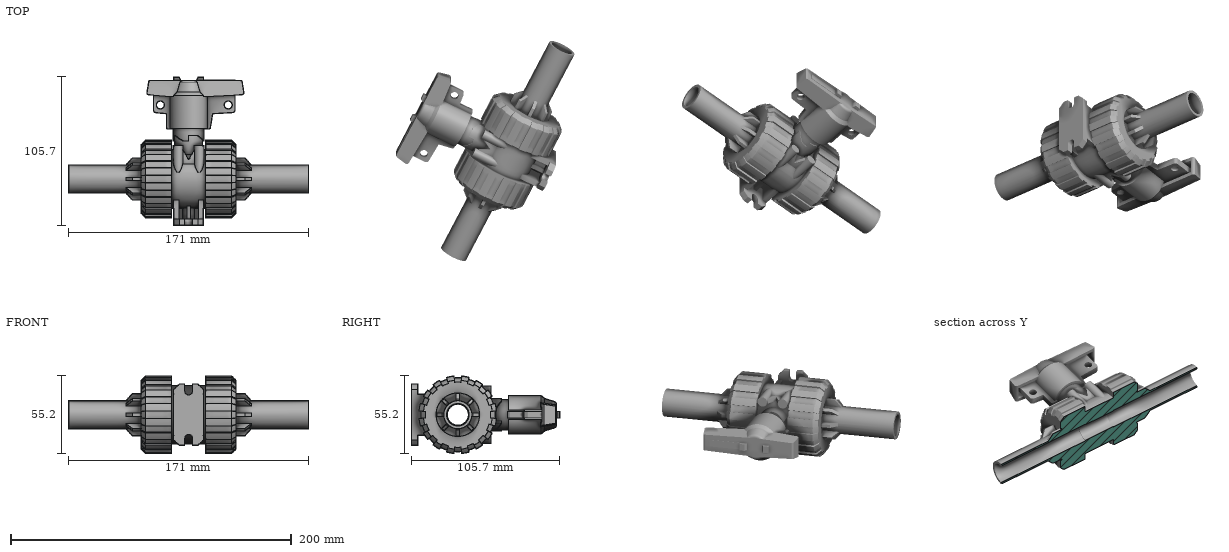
import cadquery as cq
import math

OVERLAP = 0.5

TOTAL_LENGTH = 171.0
TOTAL_DEPTH = 105.67
PIPE_DIA = 20.0
PIPE_BORE_DIA = 16.0
BALL_BORE_DIA = 15.0

BODY_DIA = 41.97
NUT_INNER_X = 12.1
NUT_OUTER_X = 33.8
TOOTH_COUNT = 16
TOOTH_PITCH = 360.0 / TOOTH_COUNT
TOOTH_ANGLE = TOOTH_PITCH / 2
NUT_HEIGHT = 55.24
TOOTH_RADIUS = NUT_HEIGHT / 2 / math.cos(math.radians(TOOTH_ANGLE / 2))
GAP_RADIUS = 26.4
NUT_CHAMFER = 3.2
NUT_OPENING_DIA = 31.0
NUT_RECESS = 1.0

RIB_COUNT = 8
RIB_WIDTH = 2.3
RIB_RADIUS = 15.0
RIB_TIP_X = 44.6
RIB_SHOULDER_X = 40.1

FOOT_Y = -33.06
FOOT_THICKNESS = 4.7
FOOT_WIDTH = 21.2
FOOT_HEIGHT = 43.8
FOOT_CHAMFER = 4.0
FOOT_SLOT_DIA = 5.5
FOOT_SLOT_DEPTH = 7.8
WALL_THICKNESS = 3.6
WALL_HEIGHT = 29.3
FOOT_BOSS_DIA = 9.0
FOOT_RIB_WIDTH = 2.6
FOOT_RIB_HEIGHT = 17.4

PIN_DIA = 7.0
PIN_TOP_Y = 23.7
PIN_X = 7.5
PIN_Z = 17.0
WEB_TOP_Z = 18.0
WEB_THICKNESS = 3.0
WEB_END_Y = 20.8
WEB_NOTCH_TIP_Y = 13.8

NECK_DIA = 23.2
NECK_WIDTH = 20.0
CAM_COUNT = 4
CAM_HIGH_Y = 31.0
CAM_LOW_Y = 27.0
CAM_SLOPE_START = 33.0
CAM_SLOPE_END = 70.0
STEM_DIA = 22.0
STEM_TOP_Y = 47.4

HUB_DIA = 27.5
HUB_BOTTOM_Y = 35.9
HUB_SHOULDER_Y = 59.3
HUB_SHOULDER_TOP_Y = 61.8
CONE_BASE_DIA = 23.2
CONE_TOP_DIA = 18.0
CONE_EDGE_RADIUS = 2.2
HUB_SLOT_WIDTH = 6.7
GRIP_TOP_Y = 70.2
GRIP_BASE_Y = 58.7
GRIP_END_BASE_Y = 60.0
GRIP_LEFT_X = -30.2
GRIP_RIGHT_X = 39.9
GRIP_END_LEAN = 1.5
GRIP_CORNER = 2.0
GRIP_TOP_HALF = 7.1
GRIP_BOTTOM_HALF = 9.0
GRIP_END_SHRINK = 1.2
GRIP_WALL = 2.7
POCKET_DEPTH = 7.0

PLATE_THICKNESS = 4.9
PLATE_LEFT_X = -25.1
PLATE_RIGHT_X = 33.2
LUG_BOTTOM_Y = 47.3
LUG_ROOT_Y = 46.4
WAIST_LEFT_X = -15.8
WAIST_RIGHT_X = 15.4
WAIST_RIGHT_ROOT_X = 17.2
PLATE_BOTTOM_Y = 35.5
LUG_CORNER = 2.2
WAIST_CORNER = 1.2
RIDGE_HEIGHT = 0.3
LUG_HOLE_DIA = 5.5
LUG_HOLE_Y = 52.7
LUG_HOLE_XS = (-20.1, 28.2)
TAB_TOP_Y = FOOT_Y + TOTAL_DEPTH
TAB_OUTER_X = 10.7
TAB_INNER_X = 6.8
TAB_FOOT_X = 5.5


def x_cylinder(dia, x_start, x_end):
    return cq.Workplane("YZ").workplane(offset=x_start).circle(dia / 2).extrude(x_end - x_start)


def y_cylinder(dia, y_start, y_end, x=0.0, z=0.0):
    base = cq.Workplane("XZ", origin=(x, y_start, z))
    return base.circle(dia / 2).extrude(y_start - y_end)


def span_box(x_span, y_span, z_span):
    spans = (x_span, y_span, z_span)
    size = [end - start for start, end in spans]
    return cq.Workplane("XY").box(*size, centered=False).translate([start for start, _ in spans])


def plate_outline(points, thickness):
    return cq.Workplane("XY").polyline(points).close().extrude(thickness / 2, both=True)


def nut_sector(radius, angle):
    """Chamfered nut wedge on the +X side, turned about X through the given angle."""
    profile = [
        (NUT_INNER_X, 0),
        (NUT_INNER_X, radius),
        (NUT_OUTER_X - NUT_CHAMFER, radius),
        (NUT_OUTER_X, radius - NUT_CHAMFER),
        (NUT_OUTER_X, 0),
    ]
    return cq.Workplane("XY").polyline(profile).close().revolve(angle, (0, 0, 0), (1, 0, 0))


def make_nut():
    nut = nut_sector(GAP_RADIUS, 360)
    tooth = nut_sector(TOOTH_RADIUS, TOOTH_ANGLE)
    for i in range(TOOTH_COUNT):
        start = TOOTH_ANGLE / 2 + i * TOOTH_PITCH
        nut = nut.union(tooth.rotate((0, 0, 0), (1, 0, 0), start))
    recess = x_cylinder(NUT_OPENING_DIA, NUT_OUTER_X - NUT_RECESS, NUT_OUTER_X + OVERLAP)
    return nut.cut(recess)


def make_connector():
    """Pipe tail on the +X side with its ring of stiffening ribs."""
    tail = x_cylinder(PIPE_DIA, NUT_INNER_X, TOTAL_LENGTH / 2)
    root_x = NUT_OUTER_X - NUT_RECESS - OVERLAP
    profile = [
        (root_x, 0),
        (root_x, RIB_RADIUS),
        (RIB_SHOULDER_X, RIB_RADIUS),
        (RIB_TIP_X, PIPE_DIA / 2),
        (RIB_TIP_X, 0),
    ]
    rib = plate_outline(profile, RIB_WIDTH)
    for i in range(RIB_COUNT):
        tail = tail.union(rib.rotate((0, 0, 0), (1, 0, 0), i * 360 / RIB_COUNT))
    return tail


def make_foot():
    plate_top_y = FOOT_Y + FOOT_THICKNESS
    plate = span_box(
        (-FOOT_WIDTH / 2, FOOT_WIDTH / 2),
        (FOOT_Y, plate_top_y),
        (-FOOT_HEIGHT / 2, FOOT_HEIGHT / 2),
    )
    foot = plate.edges("|Y").chamfer(FOOT_CHAMFER)
    slot_centre_z = FOOT_HEIGHT / 2 - FOOT_SLOT_DEPTH + FOOT_SLOT_DIA / 2
    for side in (-1, 1):
        end = y_cylinder(FOOT_SLOT_DIA, FOOT_Y, plate_top_y, z=side * slot_centre_z)
        z_span = sorted((side * slot_centre_z, side * FOOT_HEIGHT / 2))
        channel = span_box((-FOOT_SLOT_DIA / 2, FOOT_SLOT_DIA / 2), (FOOT_Y, plate_top_y), z_span)
        foot = foot.cut(end).cut(channel)

    y_span = (plate_top_y - OVERLAP, 0)
    for side in (-1, 1):
        x_span = sorted((side * FOOT_WIDTH / 2, side * (FOOT_WIDTH / 2 - WALL_THICKNESS)))
        foot = foot.union(span_box(x_span, y_span, (-WALL_HEIGHT / 2, WALL_HEIGHT / 2)))
    half_rib = FOOT_RIB_WIDTH / 2
    upright_rib = span_box((-half_rib, half_rib), y_span, (-FOOT_RIB_HEIGHT / 2, FOOT_RIB_HEIGHT / 2))
    cross_rib = span_box((-FOOT_WIDTH / 2, FOOT_WIDTH / 2), y_span, (-half_rib, half_rib))
    boss = y_cylinder(FOOT_BOSS_DIA, *y_span)
    return foot.union(upright_rib).union(cross_rib).union(boss)


def make_pins():
    """Four pins along Y, each pair joined by a flat web with a V notch."""
    web_outline = [
        (-PIN_X, 0),
        (PIN_X, 0),
        (PIN_X, WEB_END_Y),
        (PIN_X - PIN_DIA / 2, WEB_END_Y),
        (0, WEB_NOTCH_TIP_Y),
        (PIN_DIA / 2 - PIN_X, WEB_END_Y),
        (-PIN_X, WEB_END_Y),
    ]
    web = cq.Workplane("XY").polyline(web_outline).close().extrude(WEB_THICKNESS)
    group = web.translate((0, 0, WEB_TOP_Z - WEB_THICKNESS))
    for x in (-PIN_X, PIN_X):
        group = group.union(y_cylinder(PIN_DIA, 0, PIN_TOP_Y, x, PIN_Z))
    return group.union(group.mirror("XY"))


def cam_cutter():
    """Removes the falling half of the cam in the quadrant between +Z and +X."""
    radius = NECK_DIA / 2
    middle = 45
    slope_start = radius * math.sin(math.radians(CAM_SLOPE_START - middle))
    slope_end = radius * math.sin(math.radians(CAM_SLOPE_END - middle))
    outline = [
        (slope_start, CAM_HIGH_Y),
        (slope_end, CAM_LOW_Y),
        (NECK_DIA, CAM_LOW_Y),
        (NECK_DIA, CAM_HIGH_Y),
    ]
    prism = cq.Workplane("XY").polyline(outline).close().extrude(NECK_DIA)
    prism = prism.rotate((0, 0, 0), (0, 1, 0), middle)
    quadrant = span_box((0, NECK_DIA), (0, CAM_HIGH_Y), (0, NECK_DIA))
    return prism.intersect(quadrant)


def make_neck():
    neck = y_cylinder(NECK_DIA, 0, CAM_HIGH_Y)
    flats = span_box((-NECK_WIDTH / 2, NECK_WIDTH / 2), (0, CAM_HIGH_Y), (-NECK_DIA, NECK_DIA))
    neck = neck.intersect(flats)
    cutter = cam_cutter()
    for i in range(CAM_COUNT):
        neck = neck.cut(cutter.rotate((0, 0, 0), (0, 1, 0), i * 360 / CAM_COUNT))
    return neck.union(y_cylinder(STEM_DIA, CAM_LOW_Y, STEM_TOP_Y))


def make_hub():
    profile = [
        (0, HUB_BOTTOM_Y),
        (HUB_DIA / 2, HUB_BOTTOM_Y),
        (HUB_DIA / 2, HUB_SHOULDER_Y),
        (CONE_BASE_DIA / 2, HUB_SHOULDER_TOP_Y),
        (CONE_TOP_DIA / 2, GRIP_TOP_Y),
        (0, GRIP_TOP_Y),
    ]
    hub = cq.Workplane("XY").polyline(profile).close().revolve(360, (0, 0, 0), (0, 1, 0))
    hub = hub.faces(">Y").edges().fillet(CONE_EDGE_RADIUS)
    slot = span_box(
        (-HUB_DIA, HUB_DIA),
        (HUB_BOTTOM_Y, GRIP_TOP_Y - GRIP_WALL),
        (-HUB_SLOT_WIDTH / 2, HUB_SLOT_WIDTH / 2),
    )
    return hub.cut(slot)


def grip_block(inset):
    """Solid with the tapered grip shape, made thinner in Z by the inset on each side."""
    middle = GRIP_BOTTOM_HALF - inset
    end = middle - GRIP_END_SHRINK
    plan = [
        (GRIP_LEFT_X, -end),
        (0, -middle),
        (GRIP_RIGHT_X, -end),
        (GRIP_RIGHT_X, end),
        (0, middle),
        (GRIP_LEFT_X, end),
    ]
    height = GRIP_TOP_Y - GRIP_BASE_Y
    draft = math.degrees(math.atan((GRIP_BOTTOM_HALF - GRIP_TOP_HALF) / height))
    base = cq.Workplane("XZ", origin=(0, GRIP_BASE_Y, 0))
    return base.polyline(plan).close().extrude(-height, taper=draft)


def make_grip():
    hub_radius = HUB_DIA / 2
    elevation = [
        (GRIP_LEFT_X, GRIP_END_BASE_Y),
        (-hub_radius, GRIP_BASE_Y),
        (hub_radius, GRIP_BASE_Y),
        (GRIP_RIGHT_X, GRIP_END_BASE_Y),
        (GRIP_RIGHT_X - GRIP_END_LEAN, GRIP_TOP_Y),
        (GRIP_LEFT_X + GRIP_END_LEAN, GRIP_TOP_Y),
    ]
    outline = plate_outline(elevation, 3 * GRIP_BOTTOM_HALF)
    outline = outline.edges("|Z and (<X or >X or >Y)").fillet(GRIP_CORNER)
    block = grip_block(0).intersect(outline)
    pocket = grip_block(GRIP_WALL).intersect(
        span_box(
            (GRIP_LEFT_X + GRIP_WALL, GRIP_RIGHT_X - GRIP_WALL),
            (GRIP_BASE_Y, GRIP_BASE_Y + POCKET_DEPTH),
            (-GRIP_BOTTOM_HALF, GRIP_BOTTOM_HALF),
        )
    )
    return block.cut(pocket)


def make_key_plate():
    hidden_top_y = GRIP_TOP_Y - OVERLAP
    ridge_top_y = GRIP_TOP_Y + RIDGE_HEIGHT
    outline = [
        (PLATE_LEFT_X, hidden_top_y),
        (PLATE_LEFT_X, LUG_BOTTOM_Y),
        (WAIST_LEFT_X, LUG_ROOT_Y),
        (WAIST_LEFT_X, PLATE_BOTTOM_Y),
        (WAIST_RIGHT_X, PLATE_BOTTOM_Y),
        (WAIST_RIGHT_ROOT_X, LUG_ROOT_Y),
        (PLATE_RIGHT_X, LUG_BOTTOM_Y),
        (PLATE_RIGHT_X, ridge_top_y),
        (TAB_FOOT_X, ridge_top_y),
        (TAB_FOOT_X, hidden_top_y),
    ]
    plate = plate_outline(outline, PLATE_THICKNESS)
    plate = plate.edges("|Z and <Y").fillet(WAIST_CORNER)
    for x in (PLATE_LEFT_X, PLATE_RIGHT_X):
        lug_corner = cq.selectors.NearestToPointSelector((x, LUG_BOTTOM_Y, 0))
        plate = plate.edges(lug_corner).fillet(LUG_CORNER)
    for x in LUG_HOLE_XS:
        hole = cq.Workplane("XY").center(x, LUG_HOLE_Y).circle(LUG_HOLE_DIA / 2)
        plate = plate.cut(hole.extrude(PLATE_THICKNESS, both=True))
    tab_outline = [
        (TAB_OUTER_X, hidden_top_y),
        (TAB_OUTER_X, TAB_TOP_Y),
        (TAB_INNER_X, TAB_TOP_Y),
        (TAB_FOOT_X, GRIP_TOP_Y),
        (TAB_FOOT_X, hidden_top_y),
    ]
    tab = plate_outline(tab_outline, PLATE_THICKNESS)
    return plate.union(tab).union(tab.mirror("YZ"))


def make_valve():
    valve = x_cylinder(BODY_DIA, -NUT_INNER_X - OVERLAP, NUT_INNER_X + OVERLAP)
    for piece in (make_nut(), make_connector()):
        valve = valve.union(piece).union(piece.mirror("YZ"))
    for piece in (make_foot(), make_pins(), make_neck(), make_hub(), make_grip(), make_key_plate()):
        valve = valve.union(piece)
    valve = valve.cut(x_cylinder(BALL_BORE_DIA, -NUT_INNER_X, NUT_INNER_X))
    tail_bore = x_cylinder(PIPE_BORE_DIA, NUT_INNER_X, TOTAL_LENGTH / 2)
    return valve.cut(tail_bore).cut(tail_bore.mirror("YZ"))


result = make_valve()